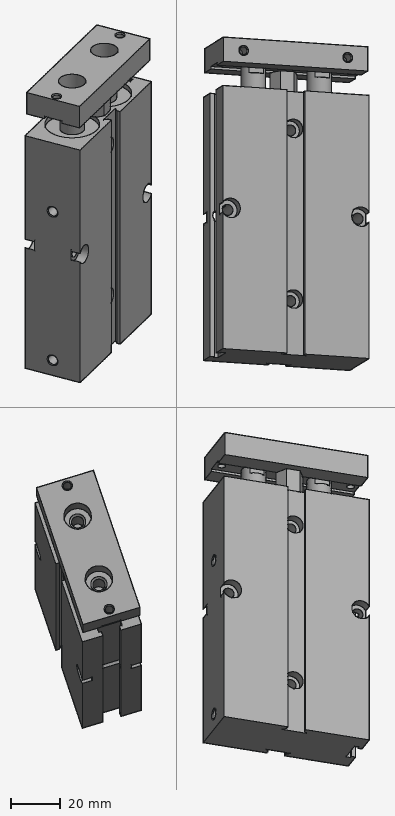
import cadquery as cq
import math


TOTAL_HEIGHT = 128.0
HOUSING_WIDTH = 25.0
HOUSING_LENGTH = 62.0
HOUSING_HEIGHT = 108.0

PLATE_WIDTH = 24.0
PLATE_LENGTH = 61.0
PLATE_THICKNESS = 10.0
PLATE_BOTTOM = TOTAL_HEIGHT - PLATE_THICKNESS
KEYWAY_DEPTH = 1.0

ROD_DIAMETER = 10.0
ROD_OFFSET = 14.0
ROD_FLATS = 8.0
ROD_FLAT_HEIGHT = 2.2
ROD_RECESS_DIAMETER = 22.0
ROD_RECESS_DEPTH = 2.0

SEAT_DIAMETER = 11.0
SEAT_DEPTH = 6.9
ROD_HOLE_DIAMETER = 4.9
ROD_HOLE_RIM = 6.5
ROD_HOLE_DEPTH = 10.2

BOLT_FLATS = 10.0
BOLT_OFFSET = 3.6
BOLT_EDGE_CHAMFER = 0.4
BOLT_CORNERS = BOLT_FLATS / math.cos(math.pi / 6)

PLATE_HOLE_DIAMETER = 3.2
PLATE_HOLE_RIM = 4.1
TOP_HOLE_OFFSET = 27.5
SIDE_HOLE_OFFSET = 22.0
SIDE_HOLE_DEPTH = 6.4

MOUNT_HOLE_DIAMETER = 4.5
MOUNT_SEAT_DEPTH = 4.2
MOUNT_LEVEL = 58.0
OUTER_MOUNT_OFFSET = 27.5
OUTER_SEAT_DIAMETER = 8.0
INNER_MOUNT_SPACING = 70.0
INNER_SEAT_DIAMETER = 7.5

SLOT_MOUTH = 7.5
SLOT_LIP = 1.5
SIDE_SLOT_FLARE = 1.4
SIDE_SLOT_DEPTH = SLOT_LIP + SIDE_SLOT_FLARE
BACK_SLOT_DEPTH = 3.7
BACK_SLOT_LIP = 1.8
BACK_SLOT_STEP = 1.2

PORT_DIAMETER = 4.1
PORT_RIM = 4.9
PORT_DEPTH = 6.4
PORT_LEVELS = (7.0, 76.0)


def cylinder(start, direction, diameter, depth):
    """Round solid from a start point along a direction."""
    return cq.Workplane(cq.Solid.makeCylinder(diameter / 2, depth, cq.Vector(*start), cq.Vector(*direction)))


def rimmed_hole(start, direction, diameter, rim_diameter, depth):
    """Cutter for a hole whose mouth has a 45 degree chamfer."""
    rim_depth = (rim_diameter - diameter) / 2
    rim = cq.Solid.makeCone(
        rim_diameter / 2, diameter / 2, rim_depth, cq.Vector(*start), cq.Vector(*direction)
    )
    return cylinder(start, direction, diameter, depth).union(cq.Workplane(rim))


def slot(half_profile):
    """Cutter along Z: half_profile lists (depth, half width) points from mouth to floor.

    Depth runs along +X from the YZ plane.
    """
    mirrored = [(depth, -half_width) for depth, half_width in reversed(half_profile)]
    return cq.Workplane("XY").polyline(half_profile + mirrored).close().extrude(HOUSING_HEIGHT)


def side_slot():
    """Slot for the -X face: straight lips, then a 45 degree flare to the floor."""
    half_mouth = SLOT_MOUTH / 2
    profile = [
        (0, half_mouth),
        (SLOT_LIP, half_mouth),
        (SIDE_SLOT_DEPTH, half_mouth + SIDE_SLOT_FLARE),
    ]
    return slot(profile).translate((-HOUSING_WIDTH / 2, 0, 0))


def back_slot():
    """T-slot for the +Y face."""
    half_mouth = SLOT_MOUTH / 2
    half_floor = half_mouth + BACK_SLOT_STEP
    profile = [
        (0, half_mouth),
        (BACK_SLOT_LIP, half_mouth),
        (BACK_SLOT_LIP, half_floor),
        (BACK_SLOT_DEPTH, half_floor),
    ]
    return slot(profile).rotate((0, 0, 0), (0, 0, 1), -90).translate((0, HOUSING_LENGTH / 2, 0))


def mount_hole(y, z, seat_diameter, seat_depth):
    """Cutter for a hole through the width with a counterbore from each side."""
    half_width = HOUSING_WIDTH / 2
    cutter = cylinder((-half_width, y, z), (1, 0, 0), MOUNT_HOLE_DIAMETER, HOUSING_WIDTH)
    for side in (-1, 1):
        seat = cylinder((side * half_width, y, z), (-side, 0, 0), seat_diameter, seat_depth)
        cutter = cutter.union(seat)
    return cutter


def make_housing():
    body = cq.Workplane("XY").box(
        HOUSING_WIDTH, HOUSING_LENGTH, HOUSING_HEIGHT, centered=(True, True, False)
    )

    left_slot = side_slot()
    body = body.cut(left_slot).cut(left_slot.mirror("YZ")).cut(back_slot())

    for sign in (-1, 1):
        outer = mount_hole(sign * OUTER_MOUNT_OFFSET, MOUNT_LEVEL, OUTER_SEAT_DIAMETER, MOUNT_SEAT_DEPTH)
        inner_level = MOUNT_LEVEL + sign * INNER_MOUNT_SPACING / 2
        inner = mount_hole(0, inner_level, INNER_SEAT_DIAMETER, SIDE_SLOT_DEPTH + MOUNT_SEAT_DEPTH)
        body = body.cut(outer).cut(inner)

    for level in PORT_LEVELS:
        start = (0, -HOUSING_LENGTH / 2, level)
        body = body.cut(rimmed_hole(start, (0, 1, 0), PORT_DIAMETER, PORT_RIM, PORT_DEPTH))

    for sign in (-1, 1):
        start = (0, sign * ROD_OFFSET, HOUSING_HEIGHT)
        body = body.cut(cylinder(start, (0, 0, -1), ROD_RECESS_DIAMETER, ROD_RECESS_DEPTH))
    return body


def make_rod():
    """Rod from the recess floor to the keyway roof, with two flats at its top."""
    bottom = HOUSING_HEIGHT - ROD_RECESS_DEPTH
    flat_bottom = PLATE_BOTTOM - ROD_FLAT_HEIGHT
    flat_top = PLATE_BOTTOM + KEYWAY_DEPTH
    shank = cylinder((0, 0, bottom), (0, 0, 1), ROD_DIAMETER, flat_bottom - bottom)
    neck_height = flat_top - flat_bottom
    neck = cylinder((0, 0, flat_bottom), (0, 0, 1), ROD_DIAMETER, neck_height)
    between_flats = cq.Workplane("XY", origin=(0, 0, flat_bottom)).box(
        ROD_FLATS, ROD_DIAMETER, neck_height, centered=(True, True, False)
    )
    return shank.union(neck.intersect(between_flats))


def make_stop_bolt():
    """Hexagonal stop between plate and housing, its lower edge chamfered at the corners."""
    height = PLATE_BOTTOM - HOUSING_HEIGHT
    hexagon = cq.Workplane("XY").polygon(6, BOLT_CORNERS).extrude(height)
    hexagon = hexagon.rotate((0, 0, 0), (0, 0, 1), 90)
    envelope = cq.Workplane("XY").circle(BOLT_CORNERS / 2).extrude(height)
    envelope = envelope.faces("<Z").chamfer(BOLT_EDGE_CHAMFER, (BOLT_CORNERS - BOLT_FLATS) / 2)
    return hexagon.intersect(envelope).translate((BOLT_OFFSET, 0, HOUSING_HEIGHT))


def make_tool_plate():
    """Plate, rods and stop bolt, which move as one body."""
    body = cq.Workplane("XY", origin=(0, 0, PLATE_BOTTOM)).box(
        PLATE_WIDTH, PLATE_LENGTH, PLATE_THICKNESS, centered=(True, True, False)
    )
    keyway = cq.Workplane("XY", origin=(0, 0, PLATE_BOTTOM)).box(
        ROD_FLATS, PLATE_LENGTH, KEYWAY_DEPTH, centered=(True, True, False)
    )
    body = body.cut(keyway).union(make_stop_bolt())

    for sign in (-1, 1):
        rod_y = sign * ROD_OFFSET
        body = body.union(make_rod().translate((0, rod_y, 0)))
        seat = cylinder((0, rod_y, TOTAL_HEIGHT), (0, 0, -1), SEAT_DIAMETER, SEAT_DEPTH)
        rod_hole_start = (0, rod_y, TOTAL_HEIGHT - SEAT_DEPTH)
        rod_hole = rimmed_hole(
            rod_hole_start, (0, 0, -1), ROD_HOLE_DIAMETER, ROD_HOLE_RIM, ROD_HOLE_DEPTH
        )
        body = body.cut(seat).cut(rod_hole)

        top_start = (0, sign * TOP_HOLE_OFFSET, TOTAL_HEIGHT)
        top_hole = rimmed_hole(
            top_start, (0, 0, -1), PLATE_HOLE_DIAMETER, PLATE_HOLE_RIM, PLATE_THICKNESS
        )
        side_start = (-PLATE_WIDTH / 2, sign * SIDE_HOLE_OFFSET, PLATE_BOTTOM + PLATE_THICKNESS / 2)
        side_hole = rimmed_hole(
            side_start, (1, 0, 0), PLATE_HOLE_DIAMETER, PLATE_HOLE_RIM, SIDE_HOLE_DEPTH
        )
        body = body.cut(top_hole).cut(side_hole)
    return body


housing = make_housing()
tool_plate = make_tool_plate()
result = cq.Compound.makeCompound([housing.val(), tool_plate.val()])